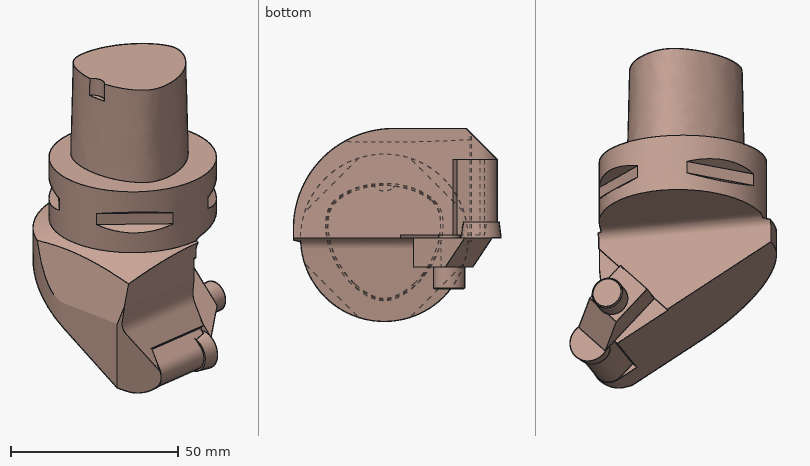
import cadquery as cq
import math


shank_height = 30.0
shank_mean_radius = 17.55
shank_lobe = 1.3
shank_taper = 0.7
shank_points = 72
keyway_diameter = 7.7
keyway_depth = 5.5
keyway_axis_y = -17.8

flange_radius = 50.0 / 2
flange_height = 20.0
groove_z = -10.1
groove_floor_distance = 22.2
groove_floor_height = 3.6
groove_flare = 30
groove_count = 4

head_arc_radius = 30.0
head_arc_x = 2.8
head_arc_y = -2.7
head_left = head_arc_x - head_arc_radius
head_front = head_arc_y - head_arc_radius
head_back = 4.5
head_right = 26.0
head_slope = 15
front_face_top = -36.35
corner_chamfer_x = 24.5
head_low = -72.0
head_far = 54.0
neck_top = -31.3
neck_waist_x = 25.55
neck_waist_top = -35.5
bottom_angle = math.radians(30)
neck_angle = math.radians(60)

clearance_edge_z = -17.1
clearance_inner_z = -19.1
clearance_corner = 3.6

insert_x = 28.9
insert_z = -54.0
insert_radius = 6.0
insert_thickness = 4.8
insert_relief = 7
insert_bottom_radius = insert_radius - insert_thickness * math.tan(math.radians(insert_relief))
nose_radius = 5.0

seat_radius = 4.9
seat_relief_length = 5.2
seat_relief_end = -23.4
clamp_gap = 0.8

clamp_angle = 45
clamp_width = 11.6
clamp_thickness = 8.7
clamp_tip = -1.1
clamp_tip_run = 8.2
clamp_back = -22.7
screw_distance = -13.5
screw_diameter = 9.4
screw_shank_diameter = 6.4
screw_top = 15.3
screw_shank_depth = 3.6
screw_chamfer = 0.4


def lobe_point(turn, radius):
    """Point of a rounded three-lobed outline with one lobe toward +Y."""
    angle = 2 * math.pi * turn
    support = radius - shank_lobe * math.sin(3 * angle)
    slope = -3 * shank_lobe * math.cos(3 * angle)
    return (
        support * math.cos(angle) - slope * math.sin(angle),
        support * math.sin(angle) + slope * math.cos(angle),
    )


def lobe_outline(plane, radius):
    points = [lobe_point(i / shank_points, radius) for i in range(shank_points)]
    return plane.spline(points, periodic=True).close()


def make_shank():
    base = lobe_outline(cq.Workplane("XY"), shank_mean_radius)
    top_plane = base.workplane(offset=shank_height)
    shank = lobe_outline(top_plane, shank_mean_radius - shank_taper).loft(ruled=True)
    keyway = (
        cq.Workplane("XY", origin=(0, keyway_axis_y, shank_height - keyway_depth))
        .circle(keyway_diameter / 2)
        .extrude(keyway_depth)
    )
    return shank.cut(keyway)


def make_flange():
    flange = cq.Workplane("XY").circle(flange_radius).extrude(-flange_height)
    half_floor = groove_floor_height / 2
    depth = flange_radius - groove_floor_distance
    half_mouth = half_floor + depth * math.tan(math.radians(groove_flare))
    groove = (
        cq.Workplane("XZ", origin=(0, 0, groove_z))
        .moveTo(groove_floor_distance, -half_floor)
        .lineTo(flange_radius, -half_mouth)
        .lineTo(flange_radius, half_mouth)
        .lineTo(groove_floor_distance, half_floor)
        .close()
        .extrude(flange_radius, both=True)
    )
    for i in range(groove_count):
        turn = (i + 0.5) * 360 / groove_count
        flange = flange.cut(groove.rotate((0, 0, 0), (0, 0, 1), turn))
    return flange


def nose_point(angle):
    return (insert_x + nose_radius * math.cos(angle), insert_z + nose_radius * math.sin(angle))


def head_side():
    """Head in side profile: sloped bottom, round nose and waisted neck."""
    neck_normal = math.pi / 2 - neck_angle
    bottom_normal = -math.pi / 2 - bottom_angle
    nose_start = nose_point(bottom_normal)
    nose_end = nose_point(neck_normal)
    nose_middle = nose_point((bottom_normal + neck_normal) / 2)
    left_bottom = nose_start[1] + (nose_start[0] - head_left) * math.tan(bottom_angle)
    neck_foot_x = neck_waist_x + 0.9
    neck_foot_z = nose_end[1] + (nose_end[0] - neck_foot_x) * math.tan(neck_angle)
    return (
        cq.Workplane("XZ", origin=(0, head_back, 0))
        .moveTo(head_left, -flange_height)
        .lineTo(head_left, left_bottom)
        .lineTo(*nose_start)
        .threePointArc(nose_middle, nose_end)
        .lineTo(neck_foot_x, neck_foot_z)
        .tangentArcPoint((neck_waist_x, neck_waist_top), relative=False)
        .lineTo(head_right, neck_top)
        .lineTo(head_right, -flange_height)
        .close()
        .extrude(head_back - head_front)
    )


def head_plan():
    """Head seen along Z: rounded on the left, chamfered at the front right corner."""
    diagonal = head_arc_radius * math.sqrt(0.5)
    return (
        cq.Workplane("XY")
        .moveTo(head_left, head_back)
        .lineTo(head_left, head_arc_y)
        .threePointArc((head_arc_x - diagonal, head_arc_y - diagonal), (head_arc_x, head_front))
        .lineTo(corner_chamfer_x, head_front)
        .lineTo(head_far, head_front + head_far - corner_chamfer_x)
        .lineTo(head_far, head_back)
        .close()
        .extrude(head_low)
    )


def shoulder_cone():
    """Space below the conical shoulder that falls away from the flange."""
    fall = (head_far - flange_radius) * math.tan(math.radians(head_slope))
    return (
        cq.Workplane("XZ")
        .moveTo(0, -flange_height)
        .lineTo(flange_radius, -flange_height)
        .lineTo(head_far, -flange_height - fall)
        .lineTo(head_far, head_low)
        .lineTo(0, head_low)
        .close()
        .revolve(360, (0, 0, 0), (0, 1, 0))
    )


def front_slope():
    """Wedge removed above the lower part of the head's front face."""
    run = -front_face_top * math.tan(math.radians(head_slope))
    return (
        cq.Workplane("YZ")
        .polyline([(head_front, front_face_top), (head_front + run, 0), (head_front, 0)])
        .close()
        .extrude(head_far, both=True)
    )


def chip_clearance():
    """Space behind the cutting face, rounded into the sloped underside of the flange."""
    return (
        cq.Workplane("YZ")
        .moveTo(0, head_low)
        .lineTo(0, clearance_inner_z - clearance_corner)
        .tangentArcPoint((clearance_corner, clearance_inner_z), relative=False)
        .lineTo(flange_radius, clearance_edge_z)
        .lineTo(head_far, clearance_edge_z)
        .lineTo(head_far, head_low)
        .close()
        .extrude(head_far, both=True)
    )


def clamp_plane(y):
    """Plane at depth y: local X runs along the clamp axis, local Z toward -Y."""
    angle = math.radians(clamp_angle)
    direction = (math.cos(angle), 0, -math.sin(angle))
    return cq.Workplane(cq.Plane((insert_x, y, insert_z), direction, (0, -1, 0)))


def space_ahead(start, depth):
    """Slab below the cutting face, everywhere past the given place on the clamp axis."""
    return (
        clamp_plane(0)
        .moveTo(start, -head_far)
        .lineTo(head_far, -head_far)
        .lineTo(head_far, head_far)
        .lineTo(start, head_far)
        .close()
        .extrude(depth)
    )


def seat_relief():
    """Material taken away around the tongue that carries the insert."""
    tongue = (
        clamp_plane(0)
        .moveTo(-head_far, -seat_radius)
        .lineTo(0, -seat_radius)
        .threePointArc((seat_radius, 0), (0, seat_radius))
        .lineTo(-head_far, seat_radius)
        .close()
        .extrude(-seat_relief_end)
    )
    return space_ahead(-seat_relief_length, -seat_relief_end).cut(tongue)


def make_clamp():
    """Bar with a sloped tip; its screw holds it on the head."""
    half_width = clamp_width / 2
    clamp = (
        clamp_plane(0)
        .transformed(rotate=(90, 0, 0), offset=(0, half_width, 0))
        .moveTo(clamp_back, 0)
        .lineTo(clamp_tip, 0)
        .lineTo(clamp_tip - clamp_tip_run, -clamp_thickness)
        .lineTo(clamp_back, -clamp_thickness)
        .close()
        .extrude(clamp_width)
    )
    screw = (
        clamp_plane(screw_top)
        .center(screw_distance, 0)
        .circle(screw_diameter / 2)
        .extrude(screw_top - clamp_thickness)
        .faces(">Y")
        .chamfer(screw_chamfer)
    )
    screw_shank = (
        clamp_plane(clamp_thickness)
        .center(screw_distance, 0)
        .circle(screw_shank_diameter / 2)
        .extrude(clamp_thickness + screw_shank_depth)
    )
    return clamp.union(screw).union(screw_shank)


def clamp_recess():
    """Shallow step in the cutting face that keeps the clamp clear of the head."""
    return space_ahead(clamp_back, clamp_gap)


def make_insert():
    return (
        clamp_plane(0)
        .circle(insert_radius)
        .workplane(offset=insert_thickness)
        .circle(insert_bottom_radius)
        .loft()
    )


def make_holder(insert):
    head = head_side().intersect(head_plan()).intersect(shoulder_cone()).cut(front_slope())
    head = head.cut(seat_relief()).cut(clamp_recess())
    holder = head.union(make_flange()).cut(chip_clearance())
    return holder.union(make_shank()).union(make_clamp()).cut(insert)


insert = make_insert()
holder = make_holder(insert)
result = cq.Compound.makeCompound([holder.val(), insert.val()])